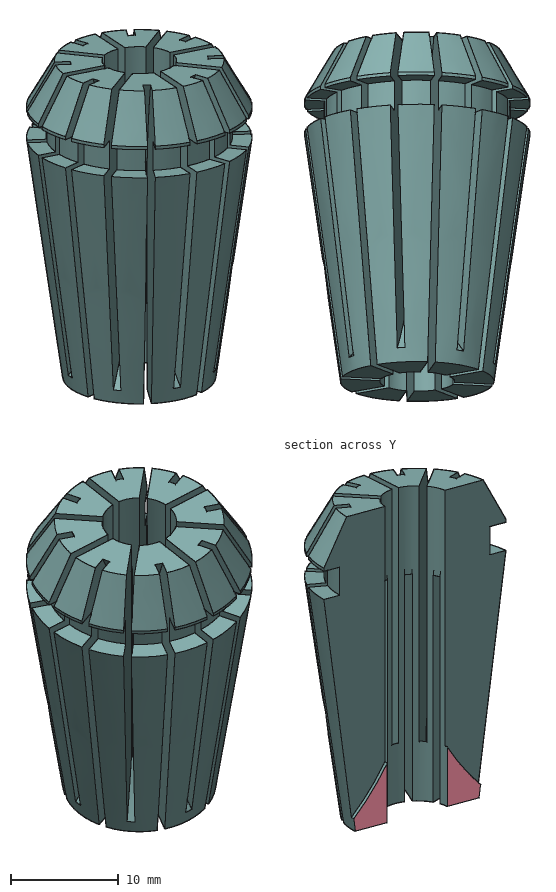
import cadquery as cq
import math

length = 31.5
outer_radius = 10.5
bore_radius = 3.45

taper_angle = 8.0
head_angle = 30.0
groove_radius = 8.65
groove_bottom = 23.85
groove_top = 26.65
rim_height = 0.3
rim_top = groove_top + rim_height
head_top_radius = outer_radius - (length - rim_top) * math.tan(math.radians(head_angle))

slot_width = 0.72
slots_per_set = 8
slot_pitch = 360.0 / slots_per_set
blade_radius = 25.2
overshoot = 1.58

head_slot_bore_end = 6.0
head_slot_outer_end = 1.32

tail_slot_bore_end = 22.68
tail_slot_top_radius = 6.43


def taper_radius(height):
    """Radius of the long taper at a given height."""
    return outer_radius - (groove_bottom - height) * math.tan(math.radians(taper_angle))


def collet_body():
    """Bored body of revolution with taper, groove and head."""
    return (
        cq.Workplane("XZ")
        .moveTo(bore_radius, 0)
        .lineTo(taper_radius(0), 0)
        .lineTo(outer_radius, groove_bottom)
        .lineTo(groove_radius, groove_bottom)
        .lineTo(groove_radius, groove_top)
        .lineTo(outer_radius, groove_top)
        .lineTo(outer_radius, rim_top)
        .lineTo(head_top_radius, length)
        .lineTo(bore_radius, length)
        .close()
        .revolve(360, (0, 0, 0), (0, 1, 0))
    )


def slot_cutter(open_height, bore_end, arc_radius, arc_end, bend):
    """Slot along +X, from the open height to an arc between the bore wall and its outer end."""
    far_radius = outer_radius + overshoot
    return (
        cq.Workplane("XZ")
        .moveTo(0, open_height)
        .lineTo(0, bore_end)
        .lineTo(bore_radius, bore_end)
        .radiusArc((arc_radius, arc_end), bend)
        .lineTo(far_radius, arc_end)
        .lineTo(far_radius, open_height)
        .close()
        .extrude(slot_width / 2, both=True)
    )


def turned(cutter, angle):
    """Cutter turned about the collet axis."""
    return cutter.rotate((0, 0, 0), (0, 0, 1), angle)


head_slot = slot_cutter(
    length + overshoot,
    head_slot_bore_end,
    taper_radius(head_slot_outer_end),
    head_slot_outer_end,
    -blade_radius,
)
tail_slot = slot_cutter(
    -overshoot,
    tail_slot_bore_end,
    tail_slot_top_radius,
    length,
    blade_radius,
)

result = collet_body()
for index in range(slots_per_set):
    angle = index * slot_pitch
    result = result.cut(turned(head_slot, angle))
    result = result.cut(turned(tail_slot, angle + slot_pitch / 2))